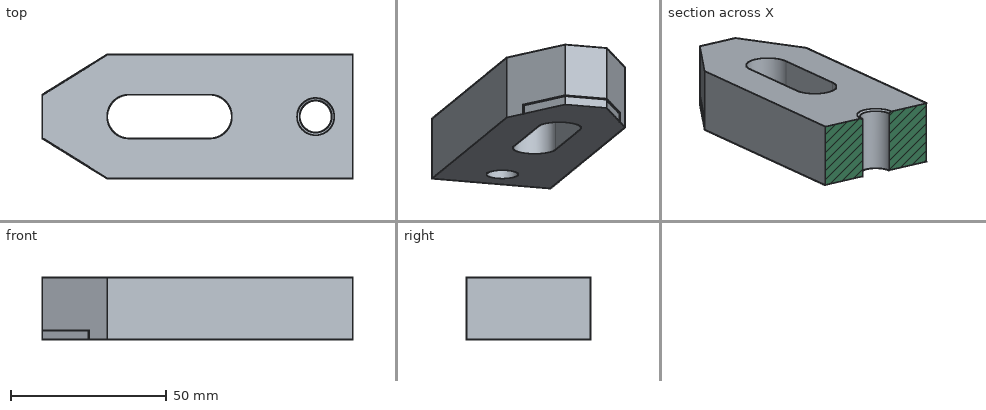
import cadquery as cq
import math

LENGTH = 100.0
WIDTH = 40.0
THICKNESS = 20.0
NOSE_LENGTH = 21.0
NOSE_WIDTH = 14.0

SLOT_LENGTH = 40.0
SLOT_WIDTH = 14.0
SLOT_START_X = NOSE_LENGTH

SCREW_HOLE_DIAMETER = 10.2
COUNTERSINK_DIAMETER = 12.0
COUNTERSINK_ANGLE = 120.0
SCREW_HOLE_END_DISTANCE = 12.0
SCREW_HOLE_X = LENGTH - SCREW_HOLE_END_DISTANCE

PAD_LENGTH = 14.9
PAD_HEIGHT = 2.8
GROOVE_WIDTH = 0.3
GROOVE_DEPTH = 0.2

TAPER_ANGLE = math.degrees(math.atan2((WIDTH - NOSE_WIDTH) / 2, NOSE_LENGTH))
PAD_SIDE_LENGTH = PAD_LENGTH / math.cos(math.radians(TAPER_ANGLE))


def make_bar():
    half_width = WIDTH / 2
    half_nose = NOSE_WIDTH / 2
    return (
        cq.Workplane("XY")
        .moveTo(0, -half_nose)
        .lineTo(NOSE_LENGTH, -half_width)
        .lineTo(LENGTH, -half_width)
        .lineTo(LENGTH, half_width)
        .lineTo(NOSE_LENGTH, half_width)
        .lineTo(0, half_nose)
        .close()
        .extrude(THICKNESS)
    )


def cut_slot(body):
    slot = (
        cq.Workplane("XY")
        .center(SLOT_START_X + SLOT_LENGTH / 2, 0)
        .slot2D(SLOT_LENGTH, SLOT_WIDTH)
        .extrude(THICKNESS)
    )
    return body.cut(slot)


def cut_screw_hole(body):
    return (
        body.faces(">Z")
        .workplane(origin=(SCREW_HOLE_X, 0, THICKNESS))
        .cskHole(SCREW_HOLE_DIAMETER, COUNTERSINK_DIAMETER, COUNTERSINK_ANGLE)
    )


def tip_groove():
    """Groove over the pad across the flat tip of the nose."""
    return (
        cq.Workplane("XY")
        .box(GROOVE_DEPTH, NOSE_WIDTH, GROOVE_WIDTH, centered=(False, True, False))
        .translate((0, 0, PAD_HEIGHT))
    )


def side_groove():
    """Groove over and behind the pad in the -Y tapered wall, square to that wall."""
    groove_length = PAD_SIDE_LENGTH + GROOVE_WIDTH
    groove_height = PAD_HEIGHT + GROOVE_WIDTH
    outer = cq.Workplane("XY").box(groove_length, GROOVE_DEPTH, groove_height, centered=False)
    pad = cq.Workplane("XY").box(PAD_SIDE_LENGTH, GROOVE_DEPTH, PAD_HEIGHT, centered=False)
    return (
        outer.cut(pad)
        .rotate((0, 0, 0), (0, 0, 1), -TAPER_ANGLE)
        .translate((0, -NOSE_WIDTH / 2, 0))
    )


def cut_pad_groove(body):
    side = side_groove()
    return body.cut(tip_groove()).cut(side).cut(side.mirror("XZ"))


result = make_bar()
result = cut_slot(result)
result = cut_screw_hole(result)
result = cut_pad_groove(result)